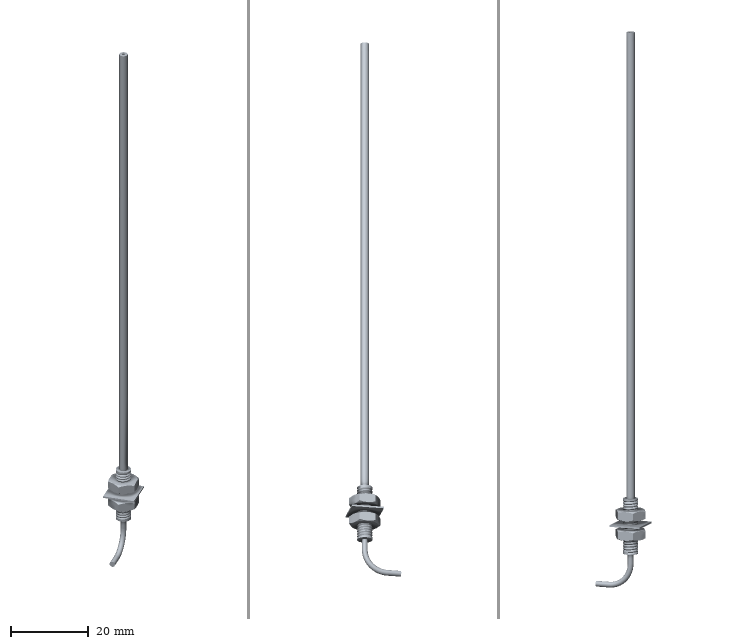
import cadquery as cq
import math

total_height = 146.0
total_depth = 13.6

sleeve_bottom = 9.3
sleeve_length = 14.5
sleeve_top = sleeve_bottom + sleeve_length
sleeve_diameter = 4.0
thread_pitch = 0.7
thread_depth = 0.22
thread_crest = 0.12
thread_margin = 0.5
cutter_standout = 0.03

rod_diameter = 2.2
tip_length = 2.2
tip_bottom = total_height - tip_length
tip_hole_diameter = 0.7

hexagon_half_angle = 30
nut_across_flats = 7.2
nut_across_corners = nut_across_flats / math.cos(math.radians(hexagon_half_angle))
nut_height = 2.5
nut_bottoms = (13.3, 18.4)
nut_face_diameter = 7.0
nut_chamfer_angle = 30
plate_width = 8.3
plate_thickness = 0.5
plate_bottom = 16.8

cable_diameter = 1.5
cable_bend_radius = 5.8
cable_reach = total_depth - plate_width / 2
cable_end_height = cable_diameter / 2


def cylinder(diameter, bottom, height):
    return cq.Workplane("XY", origin=(0, 0, bottom)).circle(diameter / 2).extrude(height)


def make_rod():
    return cylinder(rod_diameter, sleeve_top, tip_bottom - sleeve_top)


def make_tip():
    hole = cylinder(tip_hole_diameter, tip_bottom, tip_length)
    return cylinder(rod_diameter, tip_bottom, tip_length).cut(hole)


def thread_groove():
    """Helical V groove that starts and ends one plain margin inside the sleeve."""
    surface = sleeve_diameter / 2
    root = surface - thread_depth
    half_width = (thread_pitch - thread_crest) / 2
    cutter_half_width = half_width * (thread_depth + cutter_standout) / thread_depth
    start = sleeve_bottom + thread_margin
    helix = cq.Wire.makeHelix(
        thread_pitch, sleeve_length - 2 * thread_margin, surface, center=cq.Vector(0, 0, start)
    )
    profile = cq.Workplane("XZ").polyline([
        (root, start),
        (surface + cutter_standout, start - cutter_half_width),
        (surface + cutter_standout, start + cutter_half_width),
    ])
    return profile.close().sweep(cq.Workplane(helix), isFrenet=True)


def make_sleeve():
    return cylinder(sleeve_diameter, sleeve_bottom, sleeve_length).cut(thread_groove())


def make_nut(bottom):
    """Hexagon whose corners are chamfered at both ends, with a bore for the sleeve."""
    hexagon = (
        cq.Workplane("XY", origin=(0, 0, bottom))
        .transformed(rotate=(0, 0, hexagon_half_angle))
        .polygon(6, nut_across_corners)
        .extrude(nut_height)
    )
    corner_radius = nut_across_corners / 2
    chamfer_width = corner_radius - nut_face_diameter / 2
    chamfer_height = chamfer_width * math.tan(math.radians(nut_chamfer_angle))
    envelope = cylinder(nut_across_corners, bottom, nut_height)
    envelope = envelope.faces("<Z or >Z").chamfer(chamfer_height, chamfer_width)
    return hexagon.intersect(envelope).cut(cylinder(sleeve_diameter, bottom, nut_height))


def make_plate():
    plate = cq.Workplane("XY", origin=(0, 0, plate_bottom)).rect(plate_width, plate_width)
    return plate.extrude(plate_thickness).cut(cylinder(sleeve_diameter, plate_bottom, plate_thickness))


def make_cable():
    path = (
        cq.Workplane("YZ")
        .moveTo(0, sleeve_bottom)
        .lineTo(0, cable_end_height + cable_bend_radius)
        .radiusArc((-cable_bend_radius, cable_end_height), cable_bend_radius)
        .lineTo(-cable_reach, cable_end_height)
    )
    return cq.Workplane("XY", origin=(0, 0, sleeve_bottom)).circle(cable_diameter / 2).sweep(path)


rod = make_rod()
tip = make_tip()
sleeve = make_sleeve()
nuts = [make_nut(bottom) for bottom in nut_bottoms]
plate = make_plate()
cable = make_cable()

bodies = [rod, tip, sleeve, *nuts, plate, cable]
result = cq.Compound.makeCompound([body.solids().val() for body in bodies])